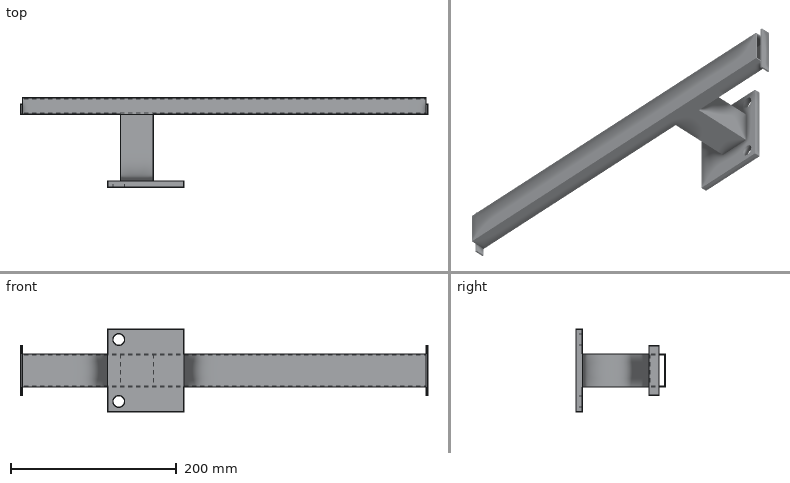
import cadquery as cq

overall_length = 492.0
overall_depth = 108.0

rail_depth = 20.0
rail_height = 40.0
rail_wall = 1.5

tab_thickness = 2.1
tab_depth = 12.5
tab_height = 60.0

plate_width = 92.0
plate_height = 100.0
plate_thickness = 8.0
plate_offset = 105.5
hole_diameter = 14.0
hole_inset = 13.5
hole_spacing = 75.0

post_side = 40.0
post_offset = 15.3

end_x = overall_length / 2
rail_length = overall_length - 2 * tab_thickness
plate_left = plate_offset - end_x
rail_front = overall_depth - rail_depth
post_length = rail_front - plate_thickness


def block(width, depth, height, left, front):
    """Block with its -X and -Y faces placed, centred on Z = 0."""
    return (
        cq.Workplane("XY")
        .box(width, depth, height, centered=(False, False, True))
        .translate((left, front, 0))
    )


def make_rail():
    """Rectangular tube, open at both ends."""
    left = -rail_length / 2
    outer = block(rail_length, rail_depth, rail_height, left, rail_front)
    bore_depth = rail_depth - 2 * rail_wall
    bore_height = rail_height - 2 * rail_wall
    bore = block(rail_length, bore_depth, bore_height, left, rail_front + rail_wall)
    return outer.cut(bore)


def make_end_tab(left):
    """Flat tab that partly covers one end of the rail."""
    return block(tab_thickness, tab_depth, tab_height, left, rail_front)


def make_post():
    """Square post from the plate to the rail."""
    return block(post_side, post_length, post_side, plate_left + post_offset, plate_thickness)


def make_plate():
    """Mounting plate with two through holes near its -X edge."""
    plate = block(plate_width, plate_thickness, plate_height, plate_left, 0)
    hole_x = plate_left + hole_inset
    holes = (
        cq.Workplane("XZ")
        .pushPoints([(hole_x, side * hole_spacing / 2) for side in (-1, 1)])
        .circle(hole_diameter / 2)
        .extrude(-plate_thickness)
    )
    return plate.cut(holes)


rail = make_rail()
end_tabs = [make_end_tab(left) for left in (-end_x, end_x - tab_thickness)]
post = make_post()
plate = make_plate()

result = cq.Compound.makeCompound(
    [rail.val(), *[tab.val() for tab in end_tabs], post.val(), plate.val()]
)